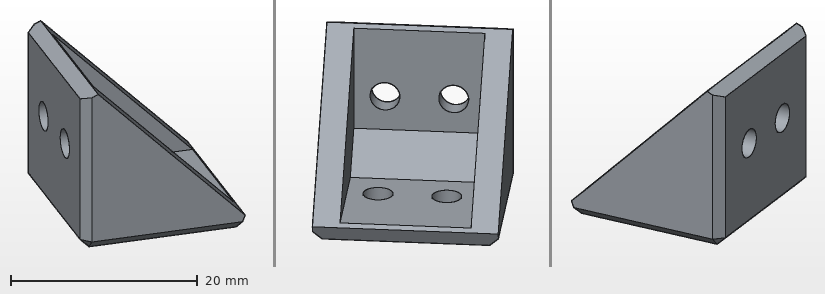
import cadquery as cq
import math

width = 20.0
leg = 18.28
tip_setback = 1.72
tip_angle = 22.5
edge_chamfer = 1.0
wall = 2.12
pocket_width = 14.1
inner_bevel = 3.98
hole_diameter = 3.2
hole_spacing = 7.4
hole_height = 10.0

leg_end = leg - tip_setback * math.tan(math.radians(tip_angle))


def extrude_profile(points, length):
    """Extrude a YZ outline symmetrically about the X mid-plane."""
    return cq.Workplane("YZ").polyline(points).close().extrude(length / 2, both=True)


body = extrude_profile(
    [(0, 0), (leg_end, 0), (leg, tip_setback), (tip_setback, leg), (0, leg_end)],
    width,
)

outer_edges = (
    body.edges("|Z")
    .add(body.faces("<Z").edges("|Y"))
    .add(body.faces("<Z").edges("|X and <Y"))
)
body = body.newObject(outer_edges.vals()).chamfer(edge_chamfer)

pocket = extrude_profile(
    [
        (wall + inner_bevel, wall),
        (leg, wall),
        (leg, leg),
        (wall, leg),
        (wall, wall + inner_bevel),
    ],
    pocket_width,
)

hole_points = [(-hole_spacing / 2, hole_height), (hole_spacing / 2, hole_height)]
floor_holes = cq.Workplane("XY").pushPoints(hole_points).circle(hole_diameter / 2).extrude(leg)
wall_holes = cq.Workplane("XZ").pushPoints(hole_points).circle(hole_diameter / 2).extrude(-leg)

result = body.cut(pocket).cut(floor_holes).cut(wall_holes)